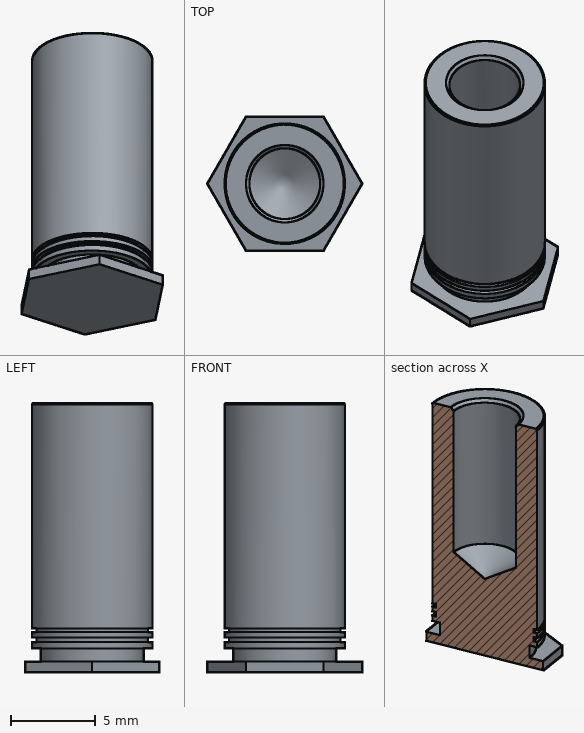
import cadquery as cq
import math

across_flats = 7.92
head_thickness = 0.63

total_height = 15.88
barrel_diameter = 7.11
neck_diameter = 6.1
neck_top = 1.42
top_chamfer = 0.075

groove_diameter = 6.6
groove_spans = [(1.79, 2.05), (2.37, 2.59)]

hole_diameter = 4.17
hole_depth = 9.53
drill_point_angle = 118
countersink_diameter = 4.57
countersink_angle = 90


def make_head():
    across_corners = across_flats / math.cos(math.radians(30))
    return cq.Workplane("XY").polygon(6, across_corners).extrude(head_thickness)


def make_barrel():
    """Neck and barrel with a small bevel on the top rim, revolved about Z."""
    neck_radius = neck_diameter / 2
    barrel_radius = barrel_diameter / 2
    return (
        cq.Workplane("XZ")
        .moveTo(0, 0)
        .lineTo(neck_radius, 0)
        .lineTo(neck_radius, neck_top)
        .lineTo(barrel_radius, neck_top)
        .lineTo(barrel_radius, total_height - top_chamfer)
        .lineTo(barrel_radius - top_chamfer, total_height)
        .lineTo(0, total_height)
        .close()
        .revolve(360, (0, 0), (0, 1))
    )


def make_groove(bottom, top):
    """Ring of material removed between two heights."""
    ring = cq.Workplane("XY", origin=(0, 0, bottom))
    return ring.circle(barrel_diameter / 2).circle(groove_diameter / 2).extrude(top - bottom)


def make_hole():
    """Volume of the blind hole, revolved about Z."""
    hole_radius = hole_diameter / 2
    mouth_radius = countersink_diameter / 2
    point_height = hole_radius / math.tan(math.radians(drill_point_angle / 2))
    countersink_depth = (mouth_radius - hole_radius) / math.tan(math.radians(countersink_angle / 2))
    hole_floor = total_height - hole_depth
    return (
        cq.Workplane("XZ")
        .moveTo(0, hole_floor - point_height)
        .lineTo(hole_radius, hole_floor)
        .lineTo(hole_radius, total_height - countersink_depth)
        .lineTo(mouth_radius, total_height)
        .lineTo(0, total_height)
        .close()
        .revolve(360, (0, 0), (0, 1))
    )


result = make_head().union(make_barrel())
for groove_bottom, groove_top in groove_spans:
    result = result.cut(make_groove(groove_bottom, groove_top))
result = result.cut(make_hole())